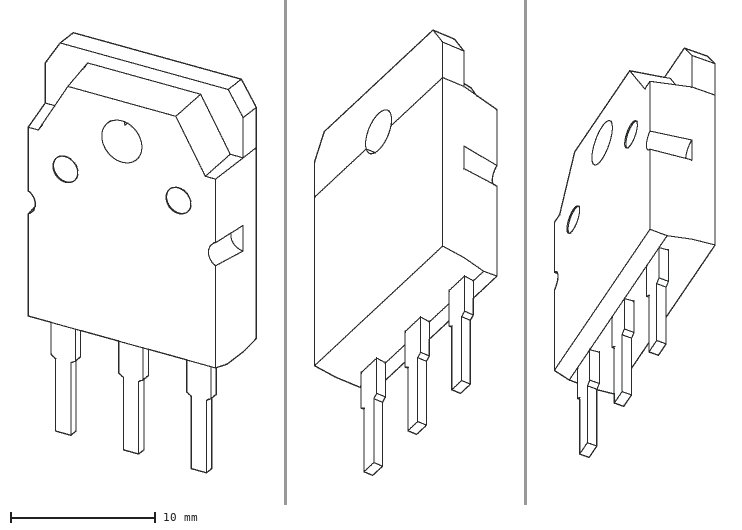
import cadquery as cq

height = 29.3
width = 15.9
depth = 4.8
tab_thickness = 1.8
step_y = -tab_thickness
front_y = -depth
half_width = width / 2

tab_bottom_z = 24.3
tab_corner_x = 1.2
tab_corner_z = 1.88
hole_radius = 1.6
hole_z = 24.8

draft_drop = 0.4
slant_rise = 4.05
slant_run = 2.37
step_top_z = tab_bottom_z + slant_rise
step_top_half = 4.55
step_shoulder_half = step_top_half + slant_run
front_top_z = step_top_z - draft_drop
front_top_half = 4.35
front_shoulder_z = tab_bottom_z - draft_drop
front_shoulder_half = front_top_half + slant_run
front_half = 7.53

back_bottom_z = 9.38
lowest_z = 8.9
front_bottom_z = 9.15

notch_radius = 1.0
notch_z = 18.02
mark_radius = 1.0
mark_x = 4.55
mark_z = 21.4
mark_depth = 0.1

lead_pitch = 5.45
lead_wide = 1.95
lead_narrow = 1.23
lead_thickness = 0.73
lead_front_y = -3.57
lead_shoulder_z = 5.9
lead_neck_z = 5.65
lead_insertion = 0.6
lead_top_z = lowest_z + lead_insertion


def front_plane(y):
    """XZ sketch plane at the given Y, extruding towards -Y."""
    return cq.Workplane("XZ", origin=(0, y, 0))


def front_cylinder(x, z, radius, start_y, end_y):
    return front_plane(start_y).center(x, z).circle(radius).extrude(start_y - end_y)


def mirrored_outline(right_side):
    """Complete a symmetric outline from its right-hand points, listed bottom to top."""
    left_side = [(-x, z) for x, z in reversed(right_side)]
    return right_side + left_side


def make_tab():
    outline = mirrored_outline([
        (half_width, tab_bottom_z),
        (half_width, height - tab_corner_z),
        (half_width - tab_corner_x, height),
    ])
    plate = front_plane(0).polyline(outline).close().extrude(tab_thickness)
    return plate.cut(front_cylinder(0, hole_z, hole_radius, 0, step_y))


def make_moulding_block():
    """Straight-sided back joined to a drafted front, trimmed to the sloping underside."""
    back_outline = mirrored_outline([(half_width, lowest_z), (half_width, tab_bottom_z)])
    back = front_plane(0).polyline(back_outline).close().extrude(tab_thickness)

    step_outline = mirrored_outline([
        (half_width, lowest_z),
        (half_width, tab_bottom_z),
        (step_shoulder_half, tab_bottom_z),
        (step_top_half, step_top_z),
    ])
    front_outline = mirrored_outline([
        (front_half, lowest_z),
        (front_half, front_shoulder_z),
        (front_shoulder_half, front_shoulder_z),
        (front_top_half, front_top_z),
    ])
    front = (
        front_plane(step_y).polyline(step_outline).close()
        .workplane(offset=depth - tab_thickness).polyline(front_outline).close()
        .loft(ruled=True)
    )

    side_profile = [
        (0, back_bottom_z),
        (lead_front_y, lowest_z),
        (front_y, front_bottom_z),
        (front_y, height),
        (0, height),
    ]
    envelope = cq.Workplane("YZ").polyline(side_profile).close().extrude(half_width, both=True)
    return back.union(front).intersect(envelope)


def make_moulding(leads):
    moulding = make_moulding_block()
    moulding = moulding.cut(front_cylinder(0, hole_z, hole_radius, 0, front_y))
    for side in (-1, 1):
        moulding = moulding.cut(
            front_cylinder(side * half_width, notch_z, notch_radius, step_y, front_y)
        )
        moulding = moulding.cut(
            front_cylinder(side * mark_x, mark_z, mark_radius, front_y + mark_depth, front_y)
        )
    for lead in leads:
        moulding = moulding.cut(lead)
    return moulding


def make_lead(x):
    outline = mirrored_outline([
        (lead_narrow / 2, 0),
        (lead_narrow / 2, lead_neck_z),
        (lead_wide / 2, lead_shoulder_z),
        (lead_wide / 2, lead_top_z),
    ])
    lead_back_y = lead_front_y + lead_thickness
    return front_plane(lead_back_y).polyline(outline).close().extrude(lead_thickness).translate((x, 0, 0))


tab = make_tab()
leads = [make_lead(position * lead_pitch) for position in (-1, 0, 1)]
moulding = make_moulding(leads)

result = cq.Compound.makeCompound([tab.val(), moulding.val(), *[lead.val() for lead in leads]])